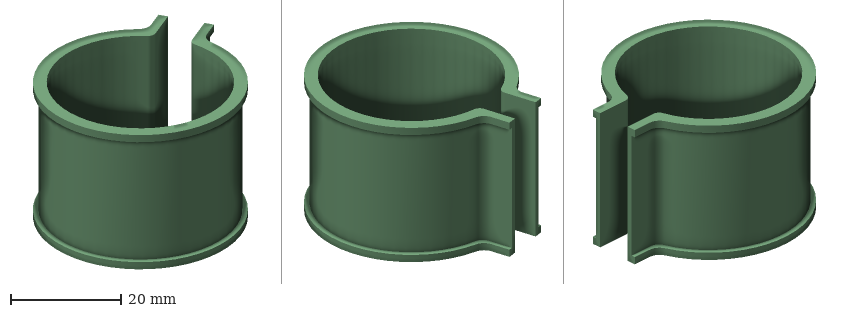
import cadquery as cq
import math

total_length_y = 43.95
height = 28.0

bore_radius = 17.0
body_radius = 18.5
flange_radius = 19.5
flange_height = 1.5

gap_half_width = 3.5
body_tab_half_width = 4.55
flange_tab_half_width = 5.35

bore_fillet = 1.5
body_fillet = 2.0
flange_fillet = 2.5

tab_end_y = total_length_y - flange_radius
selection_margin = 0.2


def edges_at_junction(radius, half_width):
    """Select the two upright edges where planes x = +/-half_width meet a cylinder."""
    junction_y = math.sqrt(radius**2 - half_width**2)
    reach_x = half_width + selection_margin
    return cq.selectors.BoxSelector(
        (-reach_x, junction_y - selection_margin, -height),
        (reach_x, junction_y + selection_margin, 2 * height),
    )


def keyhole_block(radius, tab_half_width, fillet, bottom_z, block_height):
    """Solid disc with a straight block running to the tab ends, blended where they meet."""
    base = cq.Workplane("XY").workplane(offset=bottom_z)
    disc = base.circle(radius).extrude(block_height)
    block = base.center(0, tab_end_y / 2).rect(2 * tab_half_width, tab_end_y).extrude(block_height)
    outline = disc.union(block)
    return outline.edges("|Z").edges(edges_at_junction(radius, tab_half_width)).fillet(fillet)


clamp = keyhole_block(body_radius, body_tab_half_width, body_fillet, 0, height)
for flange_bottom in (0, height - flange_height):
    flange = keyhole_block(
        flange_radius, flange_tab_half_width, flange_fillet, flange_bottom, flange_height
    )
    clamp = clamp.union(flange)

bore = cq.Workplane("XY").circle(bore_radius).extrude(height)
gap = cq.Workplane("XY").center(0, tab_end_y / 2).rect(2 * gap_half_width, tab_end_y).extrude(height)
clamp = clamp.cut(bore.union(gap))

result = clamp.edges("|Z").edges(edges_at_junction(bore_radius, gap_half_width)).fillet(bore_fillet)